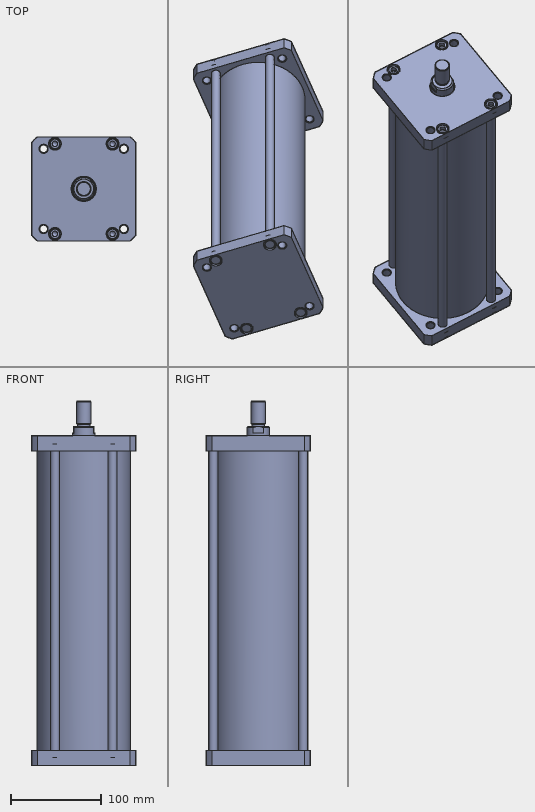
import cadquery as cq
import math

TOTAL_HEIGHT = 405.0
PLATE_THICKNESS = 17.0
HEAD_TOP = 366.5
HEAD_BOTTOM = HEAD_TOP - PLATE_THICKNESS
BARREL_DIAMETER = 104.0

PLATE_SIDE = 116.0
CORNER_DIAMETER = 155.0
MOUNT_HOLE_DIAMETER = 8.5
MOUNT_HOLE_CHAMFER = 1.0
MOUNT_HOLE_SPACING = 89.0

TIE_DIAMETER = 10.0
TIE_SPACING_X = 64.0
TIE_SPACING_Y = 100.0
TIE_HEAD_DIAMETER = 13.0
TIE_HEAD_CHAMFER = 1.2
COUNTERBORE_DIAMETER = 14.0
COUNTERBORE_DEPTH = 9.0
HEAD_RECESS = 1.0
SOCKET_DIAMETER = 6.0
SOCKET_DEPTH = 5.0
DRILL_POINT_ANGLE = 120.0

ROD_DIAMETER = 25.0
ROD_SHOULDER_TOP = 377.0
ROD_CHAMFER = 1.5
FLAT_ACROSS = 22.3
FLAT_BOTTOM = 369.5
NECK_DIAMETER = 14.0
STUD_DIAMETER = 16.0
STUD_BOTTOM = 379.0
STUD_LOWER_CHAMFER = 1.0
STUD_TIP_CHAMFER = 1.0

WIPER_DIAMETER = 26.7
WIPER_CHAMFER = 0.6
WIPER_DEPTH = 4.0


def corner_points(spacing_x, spacing_y):
    """Four points of a rectangle centred on the Z axis."""
    return [(sx * spacing_x / 2, sy * spacing_y / 2) for sx in (-1, 1) for sy in (-1, 1)]


TIE_POINTS = corner_points(TIE_SPACING_X, TIE_SPACING_Y)
MOUNT_POINTS = corner_points(MOUNT_HOLE_SPACING, MOUNT_HOLE_SPACING)


def cylinder(diameter, bottom, top):
    """Solid round bar on the Z axis."""
    return cq.Workplane("XY").workplane(offset=bottom).circle(diameter / 2).extrude(top - bottom)


def countersink(diameter, chamfer, mouth, inward):
    """Cone frustum that widens a hole at its mouth; inward is the Z direction into the hole."""
    return (
        cq.Workplane("XY")
        .workplane(offset=mouth)
        .circle(diameter / 2 + chamfer)
        .workplane(offset=inward * chamfer)
        .circle(diameter / 2)
        .loft()
    )


def chamfered_hole(diameter, chamfer, bottom, top):
    """Cutter for a through hole with a chamfer at both mouths."""
    hole = cylinder(diameter, bottom, top)
    lower_mouth = countersink(diameter, chamfer, bottom, 1)
    upper_mouth = countersink(diameter, chamfer, top, -1)
    return hole.union(lower_mouth).union(upper_mouth)


def make_plate(bottom, counterbore_bottom):
    """Square, round-cornered end plate with mounting holes and counterbored tie rod holes."""
    blank = (
        cq.Workplane("XY")
        .workplane(offset=bottom)
        .rect(PLATE_SIDE, PLATE_SIDE)
        .extrude(PLATE_THICKNESS)
        .intersect(cylinder(CORNER_DIAMETER, bottom, bottom + PLATE_THICKNESS))
    )
    base = cq.Workplane("XY").workplane(offset=bottom)
    tie_holes = base.pushPoints(TIE_POINTS).circle(TIE_DIAMETER / 2).extrude(PLATE_THICKNESS)
    counterbores = (
        cq.Workplane("XY")
        .workplane(offset=counterbore_bottom)
        .pushPoints(TIE_POINTS)
        .circle(COUNTERBORE_DIAMETER / 2)
        .extrude(COUNTERBORE_DEPTH)
    )
    plate = blank.cut(tie_holes).cut(counterbores)
    mount_hole = chamfered_hole(MOUNT_HOLE_DIAMETER, MOUNT_HOLE_CHAMFER, bottom, bottom + PLATE_THICKNESS)
    for x, y in MOUNT_POINTS:
        plate = plate.cut(mount_hole.translate((x, y, 0)))
    return plate


def make_rod_end_plate():
    """Upper plate, bored for the piston rod with a wiper recess on top."""
    plate = make_plate(HEAD_BOTTOM, HEAD_TOP - COUNTERBORE_DEPTH)
    bore = cylinder(ROD_DIAMETER, HEAD_BOTTOM, HEAD_TOP)
    wiper_recess = cylinder(WIPER_DIAMETER, HEAD_TOP - WIPER_DEPTH, HEAD_TOP)
    wiper_mouth = countersink(WIPER_DIAMETER, WIPER_CHAMFER, HEAD_TOP, -1)
    return plate.cut(bore).cut(wiper_recess).cut(wiper_mouth)


def make_piston_rod():
    """Rod with two wrench flats facing -X and +X, an undercut neck and a stud end."""
    shoulder = cylinder(ROD_DIAMETER, HEAD_BOTTOM, ROD_SHOULDER_TOP).faces(">Z").chamfer(ROD_CHAMFER)
    flat_height = ROD_SHOULDER_TOP - FLAT_BOTTOM
    flat_offset = (FLAT_ACROSS + ROD_DIAMETER) / 2
    flat_cutters = (
        cq.Workplane("XY")
        .workplane(offset=FLAT_BOTTOM)
        .pushPoints([(-flat_offset, 0), (flat_offset, 0)])
        .rect(ROD_DIAMETER, ROD_DIAMETER)
        .extrude(flat_height)
    )
    shoulder = shoulder.cut(flat_cutters)
    neck = cylinder(NECK_DIAMETER, ROD_SHOULDER_TOP, STUD_BOTTOM)
    stud = cylinder(STUD_DIAMETER, STUD_BOTTOM, TOTAL_HEIGHT)
    stud = stud.faces("<Z").chamfer(STUD_LOWER_CHAMFER).faces(">Z").chamfer(STUD_TIP_CHAMFER)
    return shoulder.union(neck).union(stud)


def make_socket(mouth):
    """Cutter for a blind round socket with a conical floor, open at the given height."""
    radius = SOCKET_DIAMETER / 2
    point_height = radius / math.tan(math.radians(DRILL_POINT_ANGLE / 2))
    floor_rim = mouth - SOCKET_DEPTH
    half_profile = [(0, mouth), (radius, mouth), (radius, floor_rim), (0, floor_rim - point_height)]
    return cq.Workplane("XZ").polyline(half_profile).close().revolve(360, (0, 0, 0), (0, 1, 0))


def make_tie_rod(x, y):
    """Tie rod with a head seated in the counterbore at each end; the upper head has a socket."""
    shank = cylinder(TIE_DIAMETER, COUNTERBORE_DEPTH, HEAD_TOP - COUNTERBORE_DEPTH)
    head_top = HEAD_TOP - HEAD_RECESS
    upper_head = cylinder(TIE_HEAD_DIAMETER, HEAD_TOP - COUNTERBORE_DEPTH, head_top)
    upper_head = upper_head.faces(">Z").chamfer(TIE_HEAD_CHAMFER)
    lower_head = cylinder(TIE_HEAD_DIAMETER, HEAD_RECESS, COUNTERBORE_DEPTH)
    lower_head = lower_head.faces("<Z").chamfer(TIE_HEAD_CHAMFER)
    return shank.union(upper_head).union(lower_head).cut(make_socket(head_top)).translate((x, y, 0))


rod_end_plate = make_rod_end_plate()
base_plate = make_plate(bottom=0, counterbore_bottom=0)
barrel = cylinder(BARREL_DIAMETER, PLATE_THICKNESS, HEAD_BOTTOM)
piston_rod = make_piston_rod()
tie_rods = [make_tie_rod(x, y) for x, y in TIE_POINTS]

result = cq.Compound.makeCompound(
    [rod_end_plate.val(), base_plate.val(), barrel.val(), piston_rod.val()] + [rod.val() for rod in tie_rods]
)